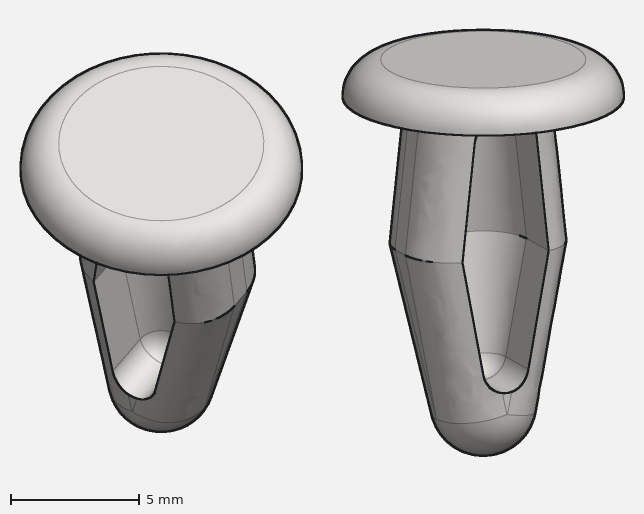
import cadquery as cq
import math

total_height = 16.0
head_thickness = 1.5
head_base_z = total_height - head_thickness
bulge_z = 8.5

head_radius = 5.5
head_rounding = 1.5

corner_radius = 2.0
back_corner_y = 0.9
neck_half_width = 2.73
bulge_half_width = 3.4

tip_radius = 2.08
tip_center = cq.Vector(0, 0, tip_radius)

slot_top_z = 14.45
slot_top_radius = 1.36
slot_bottom_z = 3.0
slot_bottom_radius = 1.0
slot_bulge_half_width = 1.88
slot_reach = 2 * corner_radius

LEFT, RIGHT = -1, 1
FRONT, BACK = -1, 1
CORNERS = [(RIGHT, BACK), (LEFT, BACK), (LEFT, FRONT), (RIGHT, FRONT)]


def tangent_angle(half_width, length, radius):
    """Angle, seen from a circle's centre, of the tangent point of a line.

    The line starts at half_width to the side and at length along the axis; the
    angle is taken from the sideways direction, positive away from that start.
    """
    return math.acos(radius / math.hypot(half_width, length)) - math.atan2(length, half_width)


def corner_arc(center, first_radius, second_radius):
    """Arc about center, from the end of one radius vector to the end of another."""
    middle = (first_radius + second_radius).normalized() * first_radius.Length
    return cq.Edge.makeThreePointArc(center + first_radius, center + middle, center + second_radius)


def axis_order(side, face, side_vector, face_vector):
    """Order a corner's two radius vectors counter-clockwise."""
    if side * face > 0:
        return side_vector, face_vector
    return face_vector, side_vector


def section_arcs(half_width, z):
    """The four rounded corners of a shank section."""
    arcs = []
    for side, face in CORNERS:
        corner_y = back_corner_y if face == BACK else 0
        center = cq.Vector(side * (half_width - corner_radius), corner_y, z)
        side_vector = cq.Vector(side * corner_radius, 0, 0)
        face_vector = cq.Vector(0, face * corner_radius, 0)
        arcs.append(corner_arc(center, *axis_order(side, face, side_vector, face_vector)))
    return arcs


def tip_arcs():
    """Great-circle quarters of the tip ball, where the tapering sides touch it."""
    taper_length = bulge_z - tip_center.z
    side_angle = tangent_angle(bulge_half_width, taper_length, tip_radius)
    back_angle = tangent_angle(back_corner_y + corner_radius, taper_length, tip_radius)
    arcs = []
    for side, face in CORNERS:
        side_vector = cq.Vector(side * math.cos(side_angle), 0, -math.sin(side_angle))
        drop_angle = back_angle if face == BACK else 0
        face_vector = cq.Vector(0, face * math.cos(drop_angle), -math.sin(drop_angle))
        first, second = axis_order(side, face, side_vector * tip_radius, face_vector * tip_radius)
        arcs.append(corner_arc(tip_center, first, second))
    return arcs


def closed_section(arcs):
    """Join the corner arcs with straight sides."""
    edges = []
    for arc, next_arc in zip(arcs, arcs[1:] + arcs[:1]):
        edges.append(arc)
        edges.append(cq.Edge.makeLine(arc.endPoint(), next_arc.startPoint()))
    return cq.Wire.assembleEdges(edges)


def make_upper_shank():
    neck = closed_section(section_arcs(neck_half_width, head_base_z))
    bulge = closed_section(section_arcs(bulge_half_width, bulge_z))
    return cq.Workplane(cq.Solid.makeLoft([bulge, neck], True))


def make_lower_shank():
    """Ruled corners and flat triangles, narrowing from the bulge to the tip ball.

    The open lower end is closed by flat sectors that meet at the ball centre.
    """
    upper = section_arcs(bulge_half_width, bulge_z)
    faces = [cq.Face.makeFromWires(closed_section(upper))]
    for arc, next_arc, tip_arc in zip(upper, upper[1:] + upper[:1], tip_arcs()):
        tip_start = tip_arc.startPoint()
        tip_end = tip_arc.endPoint()
        faces.append(cq.Face.makeRuledSurface(tip_arc, arc))
        triangle = cq.Wire.makePolygon([arc.endPoint(), next_arc.startPoint(), tip_end], close=True)
        faces.append(cq.Face.makeFromWires(triangle))
        sector_edges = [
            cq.Edge.makeLine(tip_center, tip_start),
            tip_arc,
            cq.Edge.makeLine(tip_end, tip_center),
        ]
        faces.append(cq.Face.makeFromWires(cq.Wire.assembleEdges(sector_edges)))
    return cq.Workplane(cq.Solid.makeSolid(cq.Shell.makeShell(faces)))


def make_tip():
    """Whole ball; its upper half lies inside the shank."""
    return cq.Workplane("XY").sphere(tip_radius).translate(tip_center)


def make_head():
    flat_radius = head_radius - head_rounding
    rounding_reach = head_rounding * math.sqrt(0.5)
    rounding_z = total_height - head_rounding
    profile = (
        cq.Workplane("XZ")
        .moveTo(0, head_base_z)
        .lineTo(head_radius, head_base_z)
        .threePointArc(
            (flat_radius + rounding_reach, rounding_z + rounding_reach),
            (flat_radius, total_height),
        )
        .lineTo(0, total_height)
        .close()
    )
    return profile.revolve(360, (0, 0, 0), (0, 1, 0))


def slot_end(center_z, radius, direction):
    """Points of a slot end on the +X side: tangent point, arc middle and pole.

    The straight side runs from the bulge to the tangent point; direction is
    +1 for the upper end and -1 for the lower one.
    """
    def point(angle):
        return (radius * math.cos(angle), center_z + direction * radius * math.sin(angle))

    start = tangent_angle(slot_bulge_half_width, abs(center_z - bulge_z), radius)
    quarter = math.pi / 2
    return point(start), point((start + quarter) / 2), point(quarter)


def half_slot_profile():
    top = slot_end(slot_top_z - slot_top_radius, slot_top_radius, 1)
    bottom = slot_end(slot_bottom_z + slot_bottom_radius, slot_bottom_radius, -1)
    top_tangent, top_middle, top_pole = top
    bottom_tangent, bottom_middle, bottom_pole = bottom
    return (
        cq.Workplane("XZ")
        .moveTo(*bottom_pole)
        .threePointArc(bottom_middle, bottom_tangent)
        .lineTo(slot_bulge_half_width, bulge_z)
        .lineTo(*top_tangent)
        .threePointArc(top_middle, top_pole)
        .close()
    )


def make_slot():
    """Straight walls in front of y = 0 and a revolved floor behind it."""
    right_half = half_slot_profile().extrude(slot_reach)
    opening = right_half.union(right_half.mirror("YZ"))
    floor = half_slot_profile().revolve(360, (0, 0, 0), (0, 1, 0))
    return opening.union(floor)


shank = make_upper_shank().union(make_lower_shank()).union(make_tip())
result = shank.union(make_head()).cut(make_slot())